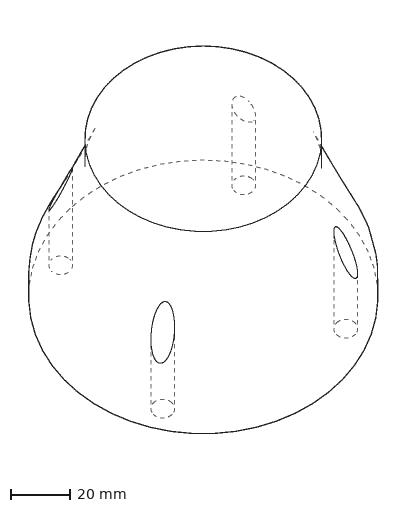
import cadquery as cq

base_radius = 59.0
neck_radius = 40.0
height = 86.0
band_height = 15.0
base_blend_radius = 20.0
neck_blend_radius = 10.0

hole_count = 4
hole_diameter = 8.0
hole_circle_radius = 50.0

cone_top = height - band_height


def make_body():
    """Solid cone between two cylindrical bands, with rounded transitions."""
    body = (
        cq.Workplane("XZ")
        .moveTo(0, 0)
        .lineTo(base_radius, 0)
        .lineTo(base_radius, band_height)
        .lineTo(neck_radius, cone_top)
        .lineTo(neck_radius, height)
        .lineTo(0, height)
        .close()
        .revolve(360, (0, 0), (0, 1))
    )
    base_corner = cq.selectors.RadiusNthSelector(-1)
    body = body.edges("%CIRCLE").edges(base_corner).edges(">Z").fillet(base_blend_radius)
    neck_corner = cq.selectors.RadiusNthSelector(0)
    return body.edges("%CIRCLE").edges(neck_corner).edges("<Z").fillet(neck_blend_radius)


def make_holes():
    """Cylinders for the holes, which break out through the cone."""
    return (
        cq.Workplane("XY")
        .polarArray(hole_circle_radius, 0, 360, hole_count)
        .circle(hole_diameter / 2)
        .extrude(height)
    )


result = make_body().cut(make_holes())